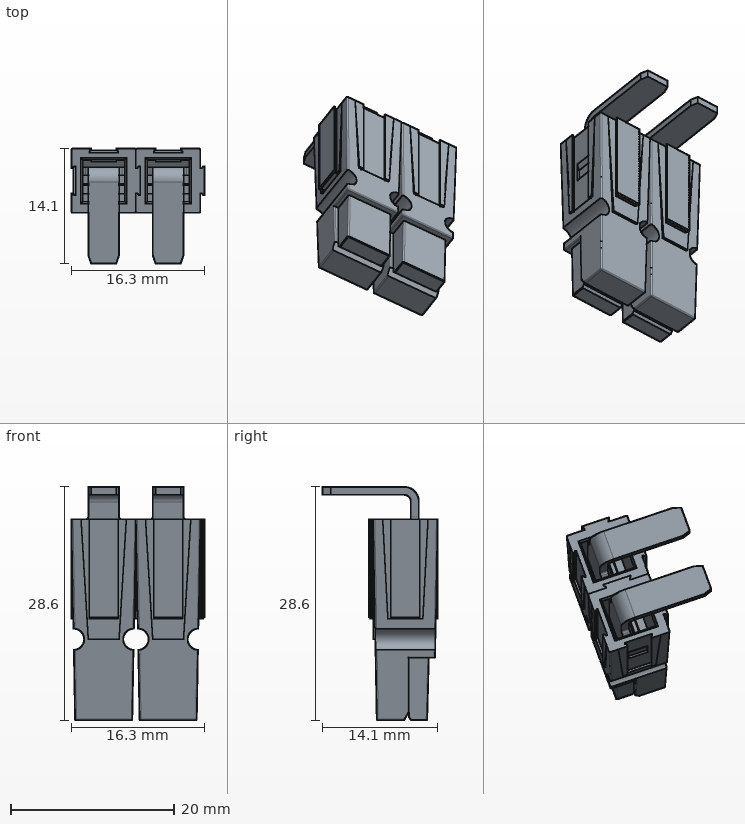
import cadquery as cq


PITCH = 7.9
HALF_TOP = PITCH / 2
HALF_BOTTOM = 3.52
HOUSING_HEIGHT = 24.65
EDGE_RADIUS = 0.17
REACH = 11.45

PAD_END = 12.47
FRONT_PAD_END = 9.92
PAD_HALF_TOP = 2.77
PAD_HALF_END = 2.15
FRONT_PAD_HALF_END = 1.9

DOVETAIL_DEPTH = 0.51
DOVETAIL_NECK_DEPTH = 0.17
DOVETAIL_RIM = 0.15
DOVETAIL_NECK_HALF = 1.55
DOVETAIL_TIP_HALF = 1.77
TAB_CHAMFER = 0.17

RECESS_WIDTH = 2.45
RECESS_DEPTH = 0.3
RECESS_BOTTOM = 17.4
RECESS_TOP = 19.95
RECESS_SLOPE_HEIGHT = 0.83

NOTCH_RADIUS = 1.3
NOTCH_Z = FRONT_PAD_END

FLANGE_Z = 7.65
HOOD_REAR = 0.43
HOOD_EDGE_RADIUS = 0.15
TONGUE_HALF_WIDTH = 3.03
TONGUE_REAR_TOP = 2.9
TONGUE_REAR_BOTTOM = 2.7
TONGUE_CHAMFER = 0.1
VEE_HEIGHT = 1.0
VEE_FRONT_RUN = 0.6
VEE_REAR_RUN = 0.3
VEE_REAR_HEIGHT = 0.4

CAVITY_HALF = 2.57
LIP_WIDTH = 0.23
LIP_HEIGHT = 0.3
CAVITY_FLOOR = PAD_END
STEP_HEIGHT = 1.0
STEP_REAR = -1.57
REST_TOP = 17.15
REST_LEDGE = 0.1
REST_SLOPE_HEIGHT = 0.4
REST_NOTCH_HALF = 1.52
REST_NOTCH_DEPTH = 0.23

CONTACT_THICKNESS = 1.0
CONTACT_REAR = 1.65
CONTACT_FRONT = CONTACT_REAR - CONTACT_THICKNESS
CONTACT_TOP = 28.6
PRONG_TIP = -10.15
PRONG_HALF_WIDTH = 1.9
TIP_TAPER_LENGTH = 1.0
TIP_TAPER_WIDTH = 0.35
BEND_INNER_RADIUS = 0.8
BEND_OUTER_RADIUS = BEND_INNER_RADIUS + CONTACT_THICKNESS
SHOULDER_Z = 24.6
SHOULDER_RADIUS = (CAVITY_HALF - PRONG_HALF_WIDTH) / 2

SPRING_FRONT = -0.57
SPRING_THICKNESS = 0.17
SPRING_TOP = 17.15
SPRING_TOP_DROP = 0.05


def half_width_at(z):
    """Half the width of the narrowing column at height z."""
    return HALF_BOTTOM + (HALF_TOP - HALF_BOTTOM) * z / HOUSING_HEIGHT


def turned(shape, quarter_turns):
    """Turn a feature made on the -Y side: 1 takes it to +X, 2 to +Y and 3 to -X."""
    return shape.rotate((0, 0, 0), (0, 0, 1), 90 * quarter_turns)


def make_column():
    """Narrowing square column with every edge rounded except those of the open top."""
    column = (
        cq.Workplane("XY")
        .rect(2 * HALF_BOTTOM, 2 * HALF_BOTTOM)
        .workplane(offset=HOUSING_HEIGHT)
        .rect(2 * HALF_TOP, 2 * HALF_TOP)
        .loft(combine=True)
    )
    return column.edges("not >Z").fillet(EDGE_RADIUS)


def make_pad(end_z, end_half):
    """Upright pad on the -Y side, tapering in width towards its lower end."""
    outline = [
        (-end_half, end_z),
        (end_half, end_z),
        (PAD_HALF_TOP, HOUSING_HEIGHT),
        (-PAD_HALF_TOP, HOUSING_HEIGHT),
    ]
    pad_depth = HALF_TOP - CAVITY_HALF
    return cq.Workplane("XZ", origin=(0, -CAVITY_HALF, 0)).polyline(outline).close().extrude(pad_depth)


def make_dovetail():
    """Dovetail bar that stands out from the -Y side."""
    neck_y = -HALF_TOP - DOVETAIL_NECK_DEPTH
    tip_y = -HALF_TOP - DOVETAIL_DEPTH
    rim_y = tip_y + DOVETAIL_RIM
    outline = [
        (DOVETAIL_NECK_HALF, -HALF_TOP),
        (DOVETAIL_NECK_HALF, neck_y),
        (DOVETAIL_TIP_HALF, rim_y),
        (DOVETAIL_TIP_HALF, tip_y),
    ]
    outline += [(-x, y) for x, y in reversed(outline)]
    bar_length = HOUSING_HEIGHT - PAD_END
    return cq.Workplane("XY", origin=(0, 0, PAD_END)).polyline(outline).close().extrude(bar_length)


def make_tab():
    return make_dovetail().faces("<Y").edges("<Z").chamfer(TAB_CHAMFER)


def make_groove():
    """Groove cutter on the -Y side: the dovetail bar turned inwards."""
    return make_dovetail().mirror("XZ", (0, -HALF_TOP, 0))


def make_latch_recess():
    """Shallow recess with a sloped ceiling, cut into the floor of the -X groove."""
    floor_x = -HALF_TOP + DOVETAIL_DEPTH
    deep_x = floor_x + RECESS_DEPTH
    outline = [
        (floor_x, RECESS_BOTTOM),
        (deep_x, RECESS_BOTTOM),
        (deep_x, RECESS_TOP - RECESS_SLOPE_HEIGHT),
        (floor_x, RECESS_TOP),
    ]
    return cq.Workplane("XZ").polyline(outline).close().extrude(RECESS_WIDTH / 2, both=True)


def make_side_notches():
    notch_x = half_width_at(NOTCH_Z)
    return (
        cq.Workplane("XZ")
        .pushPoints([(-notch_x, NOTCH_Z), (notch_x, NOTCH_Z)])
        .circle(NOTCH_RADIUS)
        .extrude(REACH, both=True)
    )


def make_hood_step():
    """Space behind the hood and below the flange."""
    front_centre = (0, HOOD_REAR, 0)
    return cq.Workplane("XY", origin=front_centre).box(2 * REACH, REACH, FLANGE_Z, (True, False, False))


def make_shell():
    """Column with its side notches and the space behind the hood removed, edges rounded."""
    shell = make_column().cut(make_side_notches()).cut(make_hood_step())
    hood_edges = cq.selectors.BoxSelector(
        (-REACH, HOOD_REAR - EDGE_RADIUS, 2 * EDGE_RADIUS),
        (REACH, HOOD_REAR + EDGE_RADIUS, FLANGE_Z - EDGE_RADIUS),
    )
    flange_edges = cq.selectors.BoxSelector(
        (-REACH, HOOD_REAR + EDGE_RADIUS, FLANGE_Z - EDGE_RADIUS),
        (REACH, REACH, FLANGE_Z + EDGE_RADIUS),
    )
    return shell.edges(hood_edges + flange_edges).fillet(HOOD_EDGE_RADIUS)


def make_tongue():
    """Block behind the hood, with rounded upright rear edges and a chamfered end."""
    outline = [
        (0, 0),
        (TONGUE_REAR_BOTTOM, 0),
        (TONGUE_REAR_TOP, FLANGE_Z),
        (0, FLANGE_Z),
    ]
    tongue = cq.Workplane("YZ").polyline(outline).close().extrude(TONGUE_HALF_WIDTH, both=True)
    tongue = tongue.faces(">Y").edges("not #Z").edges("not |X").fillet(EDGE_RADIUS)
    return tongue.faces("<Z").edges("not <Y").chamfer(TONGUE_CHAMFER)


def make_vee():
    """Notch between hood and tongue at the mating end."""
    outline = [
        (HOOD_REAR - VEE_FRONT_RUN, 0),
        (HOOD_REAR + VEE_REAR_RUN, 0),
        (HOOD_REAR, VEE_REAR_HEIGHT),
        (HOOD_REAR, VEE_HEIGHT),
    ]
    return cq.Workplane("YZ").polyline(outline).close().extrude(REACH, both=True)


def make_cavity():
    """Cavity cutter, less the rest behind the contact and the raised step at the front."""
    cavity = (
        cq.Workplane("XY", origin=(0, 0, CAVITY_FLOOR))
        .rect(2 * CAVITY_HALF, 2 * CAVITY_HALF)
        .extrude(HOUSING_HEIGHT - CAVITY_FLOOR)
    )
    lip_half = CAVITY_HALF + LIP_WIDTH
    lip = (
        cq.Workplane("XY", origin=(0, 0, HOUSING_HEIGHT - LIP_HEIGHT))
        .rect(2 * CAVITY_HALF, 2 * CAVITY_HALF)
        .workplane(offset=LIP_HEIGHT)
        .rect(2 * lip_half, 2 * lip_half)
        .loft(combine=True)
    )
    ledge_y = CAVITY_HALF - REST_LEDGE
    rest_outline = [
        (CONTACT_REAR, CAVITY_FLOOR),
        (CAVITY_HALF, CAVITY_FLOOR),
        (CAVITY_HALF, REST_TOP),
        (ledge_y, REST_TOP),
        (CONTACT_REAR, REST_TOP - REST_SLOPE_HEIGHT),
    ]
    rest = cq.Workplane("YZ").polyline(rest_outline).close().extrude(CAVITY_HALF, both=True)
    rest_notch = (
        cq.Workplane("XY", origin=(0, CAVITY_HALF - REST_NOTCH_DEPTH, REST_TOP - REST_SLOPE_HEIGHT))
        .box(2 * REST_NOTCH_HALF, REST_NOTCH_DEPTH, REST_SLOPE_HEIGHT, (True, False, False))
    )
    rest = rest.cut(rest_notch)
    step = (
        cq.Workplane("XY", origin=(0, -CAVITY_HALF, CAVITY_FLOOR))
        .box(2 * CAVITY_HALF, STEP_REAR + CAVITY_HALF, STEP_HEIGHT, (True, False, False))
    )
    return cavity.union(lip).cut(rest).cut(step)


def make_housing():
    side_pad = make_pad(PAD_END, PAD_HALF_END)
    front_pad = make_pad(FRONT_PAD_END, FRONT_PAD_HALF_END)
    housing = make_shell().union(make_tongue()).cut(make_vee())
    housing = housing.union(front_pad)
    for quarter_turns in (1, 2, 3):
        housing = housing.union(turned(side_pad, quarter_turns))
    for quarter_turns in (0, 1):
        housing = housing.union(turned(make_tab(), quarter_turns))
    for quarter_turns in (2, 3):
        housing = housing.cut(turned(make_groove(), quarter_turns))
    return housing.cut(make_latch_recess()).cut(make_cavity())


def make_contact():
    prong_under = CONTACT_TOP - CONTACT_THICKNESS
    bend_y = CONTACT_REAR - BEND_OUTER_RADIUS
    bend_z = CONTACT_TOP - BEND_OUTER_RADIUS
    strip = (
        cq.Workplane("YZ")
        .moveTo(CONTACT_REAR, CAVITY_FLOOR)
        .lineTo(CONTACT_REAR, bend_z)
        .radiusArc((bend_y, CONTACT_TOP), -BEND_OUTER_RADIUS)
        .lineTo(PRONG_TIP, CONTACT_TOP)
        .lineTo(PRONG_TIP, prong_under)
        .lineTo(bend_y, prong_under)
        .radiusArc((CONTACT_FRONT, bend_z), BEND_INNER_RADIUS)
        .lineTo(CONTACT_FRONT, CAVITY_FLOOR)
        .close()
        .extrude(PRONG_HALF_WIDTH, both=True)
    )
    tip_half = PRONG_HALF_WIDTH - TIP_TAPER_WIDTH
    for side in (-1, 1):
        corner = [
            (side * PRONG_HALF_WIDTH, PRONG_TIP),
            (side * PRONG_HALF_WIDTH, PRONG_TIP + TIP_TAPER_LENGTH),
            (side * tip_half, PRONG_TIP),
        ]
        strip = strip.cut(cq.Workplane("XY").polyline(corner).close().extrude(CONTACT_TOP))
    return strip.union(make_shoulders())


def make_shoulders():
    """Wide lower part of the contact, blended into the narrow strip."""
    blend_x = PRONG_HALF_WIDTH + SHOULDER_RADIUS
    blend_top = SHOULDER_Z + SHOULDER_RADIUS
    return (
        cq.Workplane("XZ", origin=(0, CONTACT_REAR, 0))
        .moveTo(-CAVITY_HALF, CAVITY_FLOOR)
        .lineTo(CAVITY_HALF, CAVITY_FLOOR)
        .lineTo(CAVITY_HALF, SHOULDER_Z - SHOULDER_RADIUS)
        .radiusArc((blend_x, SHOULDER_Z), -SHOULDER_RADIUS)
        .radiusArc((PRONG_HALF_WIDTH, blend_top), SHOULDER_RADIUS)
        .lineTo(-PRONG_HALF_WIDTH, blend_top)
        .radiusArc((-blend_x, SHOULDER_Z), SHOULDER_RADIUS)
        .radiusArc((-CAVITY_HALF, SHOULDER_Z - SHOULDER_RADIUS), -SHOULDER_RADIUS)
        .close()
        .extrude(CONTACT_THICKNESS)
    )


def make_spring():
    spring_rear = SPRING_FRONT + SPRING_THICKNESS
    outline = [
        (SPRING_FRONT, CAVITY_FLOOR),
        (SPRING_FRONT, SPRING_TOP),
        (spring_rear, SPRING_TOP - SPRING_TOP_DROP),
        (spring_rear, CAVITY_FLOOR),
    ]
    return cq.Workplane("YZ").polyline(outline).close().extrude(CAVITY_HALF, both=True)


bodies = []
for position in range(2):
    offset = (position * PITCH, 0, 0)
    for body in (make_housing(), make_contact(), make_spring()):
        bodies.append(body.translate(offset).solids().val())

result = cq.Compound.makeCompound(bodies)